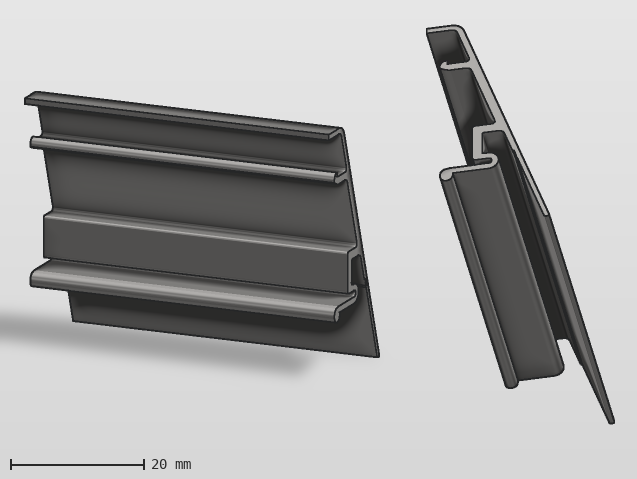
import cadquery as cq
import math

total_length = 50.0
height = 39.45
depth = 18.75
bead_projection = 0.15
body_length = total_length - bead_projection

lean = math.radians(19)
top_corner_depth = 13.45
flange_thickness = 0.9
upper_wall = 1.05
middle_wall = 1.5
lower_wall = 1.0
foot_wall = 0.8
step_top = 12.45
step_bottom = 12.05
foot_radius = 0.3
bend_radius = 2.0
bend_inner_radius = 0.95
upper_root_radius = 0.5
lower_root_radius = 1.0

lip_top = 32.05
lip_bottom = 30.8
lip_straight_end = 15.1
nose_depth = 16.7
nib_back = 15.6
nib_top = 32.7
nib_radius = 0.9
lip_nose_bottom = 31.4

arm_top = 19.3
arm_thickness = 1.5
arm_front = 11.75
arm_bottom = 12.7
arm_corner_radius = 0.35
arm_bottom_corner_radius = 0.55

rail_thickness = 1.05
curl_inner_radius = 0.475
curl_depth = 9.25
curl_height = arm_bottom - curl_inner_radius
curl_outer_radius = curl_inner_radius + rail_thickness
rail_top = curl_height - curl_inner_radius
rail_bottom = rail_top - rail_thickness
rail_straight_end = 15.2
bulb_radius = 0.975
bulb_depth = nose_depth - bulb_radius
bulb_height = 10.35
bulb_shoulder = 10.55
bulb_crown_depth = 16.0
bulb_crown_height = 11.6

bead_bottom = 12.45
bead_top = 13.5
bead_thickness = 0.2


def wall_point(thickness, z):
    """Point at height z on the plane parallel to the wall's outer face."""
    outer = top_corner_depth - (height - z) * math.tan(lean)
    return (outer + thickness / math.cos(lean), z)


def extrude_outline(outline, length):
    return outline.close().extrude(length)


def profile_plane(x=0):
    return cq.Workplane(cq.Plane(origin=(x, 0, 0), xDir=(0, -1, 0), normal=(-1, 0, 0)))


def fillet_at(body, point, radius):
    """Round the lengthwise edge that passes through a profile point."""
    d, z = point
    tolerance = 0.005
    selector = cq.selectors.BoxSelector(
        (-0.5, -d - tolerance, z - tolerance),
        (total_length + 0.5, -d + tolerance, z + tolerance),
    )
    return body.edges("|X").edges(selector).fillet(radius)


def curve_middle(start, end, bulge):
    """Middle point of a shallow arc, offset to the right of the chord."""
    dx = end[0] - start[0]
    dz = end[1] - start[1]
    chord = math.hypot(dx, dz)
    return (
        (start[0] + end[0]) / 2 + bulge * dz / chord,
        (start[1] + end[1]) / 2 - bulge * dx / chord,
    )


def make_body():
    top_outer = (top_corner_depth, height)
    top_inner = wall_point(upper_wall, height - flange_thickness)
    foot_outer = wall_point(0, 0)
    foot_inner = wall_point(foot_wall, 0)
    lip_upper_root = wall_point(upper_wall, lip_top)
    lip_lower_root = wall_point(middle_wall, lip_bottom)
    arm_upper_root = wall_point(middle_wall, arm_top)
    arm_ceiling = arm_top - arm_thickness
    arm_lower_root = wall_point(lower_wall, arm_ceiling)
    arm_inner = arm_front - arm_thickness
    curl_top = curl_height + curl_outer_radius

    lip_curve_start = (lip_straight_end, lip_bottom)
    lip_curve_end = (nose_depth, lip_nose_bottom)
    lip_bulge = 0.1
    bulb_curve_start = (nose_depth, bulb_shoulder)
    bulb_curve_end = (rail_straight_end, rail_top)
    bulb_crown = (bulb_crown_depth, bulb_crown_height)
    bulb_bulge = 0.2
    nib_center = (nose_depth - nib_radius, nib_top - nib_radius)
    diagonal = math.sqrt(0.5)

    outline = (
        profile_plane()
        .moveTo(*foot_outer)
        .lineTo(*foot_inner)
        .lineTo(*wall_point(foot_wall, step_bottom))
        .lineTo(*wall_point(lower_wall, step_top))
        .lineTo(*arm_lower_root)
        .lineTo(arm_inner, arm_ceiling)
        .lineTo(arm_inner, curl_top)
        .lineTo(curl_depth, curl_top)
        .threePointArc((curl_depth - curl_outer_radius, curl_height), (curl_depth, rail_bottom))
        .lineTo(bulb_depth - bulb_radius, rail_bottom)
        .lineTo(bulb_depth - bulb_radius, bulb_height)
        .threePointArc((bulb_depth, bulb_height - bulb_radius), (nose_depth, bulb_height))
        .lineTo(*bulb_curve_start)
        .threePointArc(curve_middle(bulb_curve_start, bulb_crown, bulb_bulge), bulb_crown)
        .lineTo(*bulb_curve_end)
        .lineTo(curl_depth, rail_top)
        .threePointArc((curl_depth - curl_inner_radius, curl_height), (curl_depth, arm_bottom))
        .lineTo(arm_front, arm_bottom)
        .lineTo(arm_front, arm_top)
        .lineTo(*arm_upper_root)
        .lineTo(*lip_lower_root)
        .lineTo(*lip_curve_start)
        .threePointArc(curve_middle(lip_curve_start, lip_curve_end, lip_bulge), lip_curve_end)
        .lineTo(nose_depth, nib_center[1])
        .threePointArc(
            (nib_center[0] + nib_radius * diagonal, nib_center[1] + nib_radius * diagonal),
            (nib_center[0], nib_top),
        )
        .lineTo(nib_back, nib_top)
        .lineTo(nib_back, lip_top)
        .lineTo(*lip_upper_root)
        .lineTo(*top_inner)
        .lineTo(depth, height - flange_thickness)
        .lineTo(depth, height)
        .lineTo(*top_outer)
    )
    body = extrude_outline(outline, -body_length)

    rounds = [
        (top_outer, bend_radius),
        (top_inner, bend_inner_radius),
        (foot_outer, foot_radius),
        (foot_inner, foot_radius),
        (lip_upper_root, upper_root_radius),
        (lip_lower_root, lower_root_radius),
        (arm_upper_root, upper_root_radius),
        (arm_lower_root, lower_root_radius),
        ((arm_inner, arm_ceiling), arm_corner_radius),
        ((arm_inner, curl_top), arm_corner_radius),
        ((arm_front, arm_bottom), arm_bottom_corner_radius),
        ((arm_front, arm_top), arm_corner_radius),
    ]
    for point, radius in rounds:
        body = fillet_at(body, point, radius)
    return body


def make_bead():
    outline = profile_plane().polyline([
        wall_point(lower_wall - bead_thickness, bead_bottom),
        wall_point(lower_wall, bead_bottom),
        wall_point(lower_wall, bead_top),
        wall_point(lower_wall - bead_thickness, bead_top),
    ])
    return extrude_outline(outline, -total_length)


result = make_body().union(make_bead())